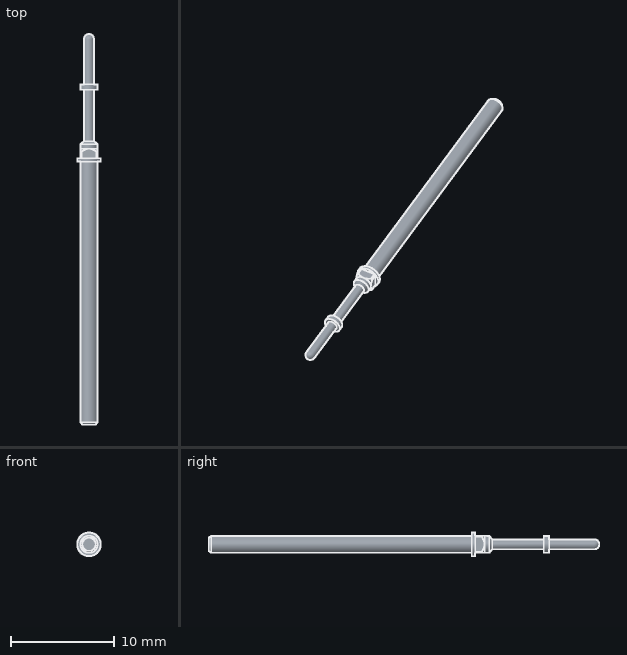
import cadquery as cq

length = 37.9
pin_radius = 0.5
barrel_radius = 0.85
flange_radius = 1.155

ring_start = 4.9
ring_width = 0.53
shoulder_start = 10.4
collar_start = 10.7
flange_start = 12.05
flange_width = 0.35
end_chamfer_length = 0.25
end_chamfer_depth = 0.2

square_corner_radius = 1.1
square_cone_start = 11.15
square_cone_length = square_corner_radius - barrel_radius


def at_station(station):
    """Y coordinate of a station measured back from the tip."""
    return length / 2 - station


def revolve_profile(points):
    """Turn (radius, station) points about the Y axis, closing the outline on the axis."""
    outline = [(0, points[0][1])] + points + [(0, points[-1][1])]
    profile = cq.Workplane("XY").polyline([(radius, at_station(station)) for radius, station in outline])
    return profile.close().revolve(360, (0, 0, 0), (0, 1, 0))


def cylinder(radius, start, width):
    return revolve_profile([(radius, start), (radius, start + width)])


def make_body():
    """Round-nosed thin pin, conical shoulder and long barrel with a chamfered end."""
    turned = revolve_profile([
        (pin_radius, pin_radius),
        (pin_radius, shoulder_start),
        (barrel_radius, collar_start),
        (barrel_radius, length - end_chamfer_length),
        (barrel_radius - end_chamfer_depth, length),
    ])
    nose = cq.Workplane("XY").sphere(pin_radius).translate((0, at_station(pin_radius), 0))
    return turned.union(nose)


def make_square_section():
    """Turned blank with a conical lead-in, trimmed to four flats."""
    blank = revolve_profile([
        (barrel_radius, square_cone_start),
        (square_corner_radius, square_cone_start + square_cone_length),
        (square_corner_radius, flange_start),
    ])
    flats_length = flange_start - square_cone_start
    middle = at_station(square_cone_start + flats_length / 2)
    flats = cq.Workplane("XY").box(2 * barrel_radius, flats_length, 2 * barrel_radius)
    return blank.intersect(flats.translate((0, middle, 0)))


result = (
    make_body()
    .union(cylinder(barrel_radius, ring_start, ring_width))
    .union(make_square_section())
    .union(cylinder(flange_radius, flange_start, flange_width))
)